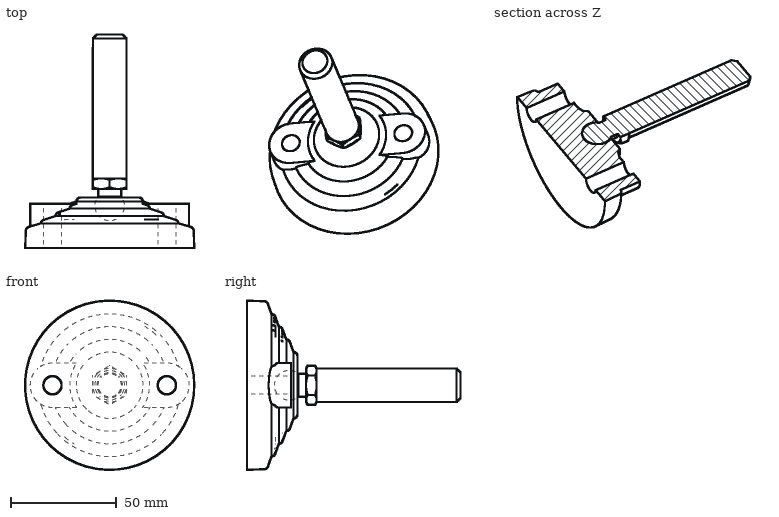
import cadquery as cq
import math


BASE_RADIUS = 40.0
FOOT_HEIGHT = 24.0
STEP_COUNT = 4
STEP_ROUND = 2.0
STEP_WIDTH = 6.0
DOME_SLOPE = math.radians(30)
STEP_DROP = STEP_WIDTH * math.tan(DOME_SLOPE)
TREAD_ANGLE = math.radians(20)
RIM_LEAN = math.radians(2)

LUG_RADIUS = 10.5
LUG_HEIGHT = 21.0
LUG_OFFSET = 27.0
SCREW_HOLE_DIAMETER = 8.5

BALL_DIAMETER = 14.0
BALL_CENTER_Y = 20.0
NECK_DIAMETER = 11.0
HEX_START = 28.0
HEX_HEIGHT = 5.0
HEX_ACROSS_FLATS = 16.0
HEX_CHAMFER_ANGLE = math.radians(30)
ROD_DIAMETER = 16.0
ROD_CHAMFER = 2.0
TOTAL_HEIGHT = 101.0

BALL_RADIUS = BALL_DIAMETER / 2

RIM_CENTER_Y = FOOT_HEIGHT - STEP_ROUND - STEP_COUNT * STEP_DROP
RIM_CENTER_RADIUS = BASE_RADIUS - RIM_CENTER_Y * math.tan(RIM_LEAN) - STEP_ROUND / math.cos(RIM_LEAN)
TOP_FLAT_RADIUS = RIM_CENTER_RADIUS - STEP_COUNT * STEP_WIDTH


def step_center(step):
    """Centre (radius, y) of the rounded edge of a step, counted from the top."""
    return (
        TOP_FLAT_RADIUS + step * STEP_WIDTH,
        FOOT_HEIGHT - STEP_ROUND - step * STEP_DROP,
    )


def on_round(step, angle):
    """Point on the rounded edge of a step, at an angle above the horizontal."""
    radius, y = step_center(step)
    return (radius + STEP_ROUND * math.cos(angle), y + STEP_ROUND * math.sin(angle))


def tread_end_angle():
    """Angle at which a sloping tread runs into the rounded edge of the step above it."""
    distance = STEP_ROUND + STEP_WIDTH * math.sin(TREAD_ANGLE) - STEP_DROP * math.cos(TREAD_ANGLE)
    tread_normal = math.pi / 2 - TREAD_ANGLE
    return tread_normal - math.acos(distance / STEP_ROUND)


def make_dome():
    """Stepped dome: sloping treads, each rounded off at its outer edge."""
    profile = cq.Workplane("XY").lineTo(0, FOOT_HEIGHT).lineTo(TOP_FLAT_RADIUS, FOOT_HEIGHT)
    for step in range(STEP_COUNT + 1):
        is_top = step == 0
        is_rim = step == STEP_COUNT
        start = math.pi / 2 if is_top else math.pi / 2 - TREAD_ANGLE
        end = RIM_LEAN if is_rim else tread_end_angle()
        if not is_top:
            profile = profile.lineTo(*on_round(step, start))
        profile = profile.threePointArc(on_round(step, (start + end) / 2), on_round(step, end))
    return profile.lineTo(BASE_RADIUS, 0).close().revolve(360, (0, 0, 0), (0, 1, 0))


def cylinder_y(diameter, start, end):
    """Cylinder on the Y axis between two heights."""
    return cq.Workplane("XZ", origin=(0, start, 0)).circle(diameter / 2).extrude(start - end)


def make_ball():
    """Ball end of the spindle, also the shape of its socket in the foot."""
    return cq.Workplane("XY", origin=(0, BALL_CENTER_Y, 0)).sphere(BALL_RADIUS)


def make_foot():
    """Dome with two screw lugs and the ball socket."""
    lugs = cq.Workplane("XZ").slot2D(2 * (LUG_OFFSET + LUG_RADIUS), 2 * LUG_RADIUS).extrude(-LUG_HEIGHT)
    screw_holes = (
        cq.Workplane("XZ")
        .pushPoints([(-LUG_OFFSET, 0), (LUG_OFFSET, 0)])
        .circle(SCREW_HOLE_DIAMETER / 2)
        .extrude(-FOOT_HEIGHT)
    )
    return make_dome().union(lugs).cut(screw_holes).cut(make_ball())


def make_hex():
    """Hexagon with corners toward +Z and -Z, chamfered at both ends."""
    corner_radius = HEX_ACROSS_FLATS / math.sqrt(3)
    flat_radius = HEX_ACROSS_FLATS / 2
    chamfer_depth = (corner_radius - flat_radius) * math.tan(HEX_CHAMFER_ANGLE)
    hex_end = HEX_START + HEX_HEIGHT
    prism = (
        cq.Workplane("XZ", origin=(0, HEX_START, 0))
        .transformed(rotate=(0, 0, 90))
        .polygon(6, 2 * corner_radius)
        .extrude(-HEX_HEIGHT)
    )
    envelope = (
        cq.Workplane("XY")
        .moveTo(0, HEX_START)
        .lineTo(flat_radius, HEX_START)
        .lineTo(corner_radius, HEX_START + chamfer_depth)
        .lineTo(corner_radius, hex_end - chamfer_depth)
        .lineTo(flat_radius, hex_end)
        .lineTo(0, hex_end)
        .close()
        .revolve(360, (0, 0, 0), (0, 1, 0))
    )
    return prism.intersect(envelope)


def make_spindle():
    """Ball, neck, hexagon and rod in one piece."""
    neck = cylinder_y(NECK_DIAMETER, BALL_CENTER_Y, HEX_START)
    rod = cylinder_y(ROD_DIAMETER, HEX_START + HEX_HEIGHT, TOTAL_HEIGHT).faces(">Y").chamfer(ROD_CHAMFER)
    return make_ball().union(neck).union(make_hex()).union(rod)


foot = make_foot()
spindle = make_spindle()
result = cq.Compound.makeCompound([foot.val(), spindle.val()])